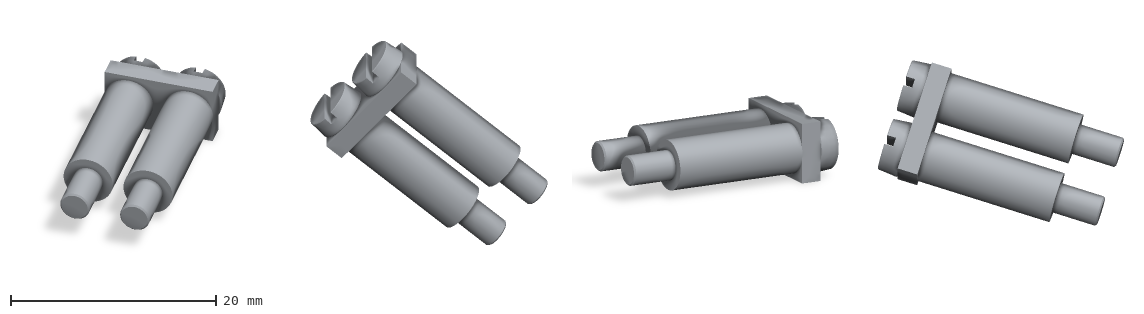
import cadquery as cq

total_length = 22.0
head_height = 2.0
plate_thickness = 2.0
tip_length = 4.5
plate_back_y = total_length - head_height
plate_front_y = plate_back_y - plate_thickness
sleeve_length = plate_front_y - tip_length

plate_width = 11.0
plate_height = 6.0

screw_pitch = 6.1
screw_positions = (-screw_pitch / 2, screw_pitch / 2)
shank_diameter = 3.0
tip_chamfer = 0.15
sleeve_diameter = 5.0
head_base_diameter = 5.5
head_top_diameter = 5.15
head_edge_chamfer = 0.07
slot_width = 0.9
slot_depth = 0.9


def cylinder_along_y(x, start_y, length, diameter):
    """Cylinder that starts at start_y and runs toward +Y."""
    base = cq.Workplane("XZ", origin=(x, start_y, 0))
    return base.circle(diameter / 2).extrude(-length)


def make_plate():
    """Rectangular plate with a close-fitting hole for each screw."""
    plate_middle_y = (plate_front_y + plate_back_y) / 2
    plate = cq.Workplane("XY").box(plate_width, plate_thickness, plate_height)
    plate = plate.translate((0, plate_middle_y, 0))
    for x in screw_positions:
        plate = plate.cut(cylinder_along_y(x, plate_front_y, plate_thickness, shank_diameter))
    return plate


def make_sleeve(x):
    """Tube around the screw shank, between the plate and the exposed tip."""
    sleeve = cylinder_along_y(x, tip_length, sleeve_length, sleeve_diameter)
    return sleeve.cut(cylinder_along_y(x, tip_length, sleeve_length, shank_diameter))


def make_screw(x):
    """Slotted screw with a tapered head and a chamfered tip."""
    shank_radius = shank_diameter / 2
    base_radius = head_base_diameter / 2
    top_radius = head_top_diameter / 2
    half_profile = [
        (0, 0),
        (shank_radius - tip_chamfer, 0),
        (shank_radius, tip_chamfer),
        (shank_radius, plate_back_y),
        (base_radius - head_edge_chamfer, plate_back_y),
        (base_radius, plate_back_y + head_edge_chamfer),
        (top_radius, total_length - head_edge_chamfer),
        (top_radius - head_edge_chamfer, total_length),
        (0, total_length),
    ]
    screw = cq.Workplane("XY").polyline(half_profile).close().revolve(360, (0, 0, 0), (0, 1, 0))

    slot = cq.Workplane("XY").box(slot_width, slot_depth, head_base_diameter)
    slot = slot.translate((0, total_length - slot_depth / 2, 0))
    return screw.cut(slot).translate((x, 0, 0))


plate = make_plate()
sleeves = [make_sleeve(x) for x in screw_positions]
screws = [make_screw(x) for x in screw_positions]

result = cq.Compound.makeCompound([
    plate.val(),
    *[sleeve.val() for sleeve in sleeves],
    *[screw.val() for screw in screws],
])